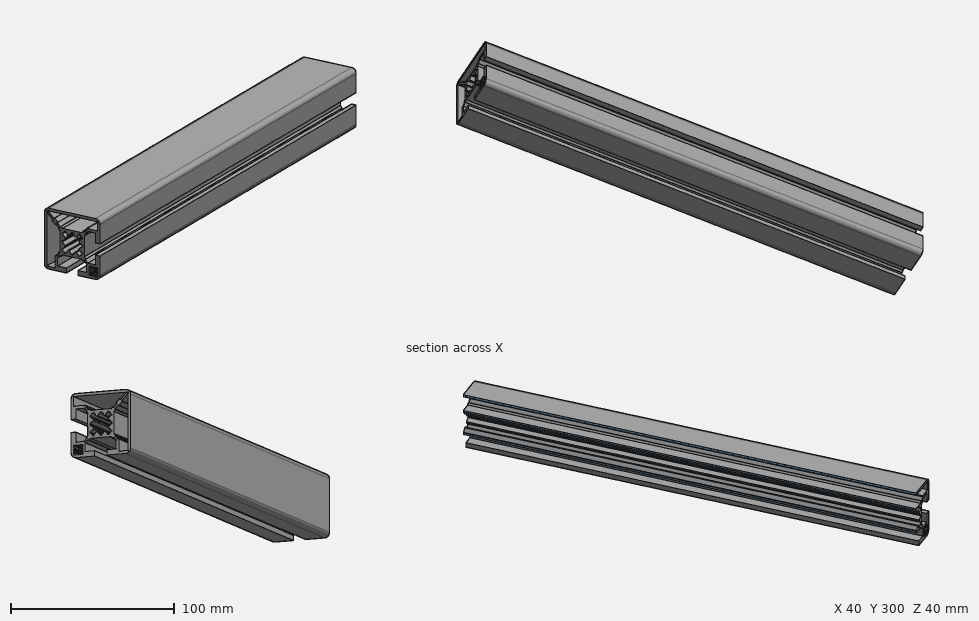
import cadquery as cq
import math

length = 300.0
side = 40.0
half_side = side / 2
corner_radius = 3.3
wall = 1.8

slot_opening = 8.0
slot_width = 20.7
lip_thickness = 3.3
slot_half = slot_width / 2
arm_outer = slot_half + wall
lip_inner = half_side - lip_thickness

core_side = 17.5
core_half = core_side / 2
web_thickness = 1.3
web_root_width = 2.7
web_root_length = 0.3
web_bump_length = 3.3
web_bump_width = 2.7
web_bump_place = 12.3

core_bore_half = 7.2
core_bore_bevel = 2.0
core_tooth_place = 2.6
core_tooth_half_width = 2.25
core_tooth_height = 2.25
core_tooth_tip_half = 0.45

box_bore_half = (half_side - wall - arm_outer) / 2
box_bore_bevel = 0.45
box_tooth_place = 1.0
box_tooth_half_width = 0.5
box_tooth_height = 1.0
box_tooth_tip_half = 0.15
box_center = arm_outer + box_bore_half


def bar(x_min, x_max, z_min, z_max):
    """Full-length rectangular bar between two X and two Z limits."""
    return cq.Workplane("XY").box(x_max - x_min, length, z_max - z_min).translate(
        ((x_min + x_max) / 2, 0, (z_min + z_max) / 2)
    )


def diagonal_bar(start, end, thickness, angle):
    """Full-length bar running outward from the axis, between two distances, at an angle from +X to +Z."""
    return bar(start, end, -thickness / 2, thickness / 2).rotate((0, 0, 0), (0, 1, 0), -angle)


def toothed_bore(half_width, bevel, tooth_place, tooth_half_width, tooth_height, tooth_tip_half):
    """Full-length square bore on the axis, with bevelled corners and two tapered teeth on each side."""
    tooth = [
        (tooth_place - tooth_half_width, half_width),
        (tooth_place - tooth_tip_half, half_width - tooth_height),
        (tooth_place + tooth_tip_half, half_width - tooth_height),
        (tooth_place + tooth_half_width, half_width),
    ]
    half_of_side = tooth + [(half_width - bevel, half_width)]
    one_side = [(-across, out) for across, out in reversed(half_of_side)] + half_of_side
    points = []
    for quarter in range(4):
        turn = math.radians(-90 * quarter)
        for across, out in one_side:
            x = across * math.cos(turn) - out * math.sin(turn)
            z = across * math.sin(turn) + out * math.cos(turn)
            points.append((x, z))
    return cq.Workplane("XZ").polyline(points).close().extrude(length / 2, both=True)


def turned_over(shape):
    """The shape turned half a turn about the X-Z diagonal that swaps the two slots."""
    return shape.rotate((0, 0, 0), (1, 0, -1), 180)


outer_block = bar(-half_side, half_side, -half_side, half_side).edges("|Y").fillet(corner_radius)
inner_half = half_side - wall
profile = outer_block.cut(bar(-inner_half, inner_half, -inner_half, inner_half))

slot_arm = bar(slot_half, half_side - wall / 2, slot_half, arm_outer)
lips = bar(lip_inner, half_side - wall / 2, -arm_outer, arm_outer)
opening = bar(lip_inner - wall, half_side + wall, -slot_opening / 2, slot_opening / 2)
slot_parts = slot_arm.union(lips)
profile = profile.union(slot_parts).union(turned_over(slot_parts))
profile = profile.cut(opening).cut(turned_over(opening))

corner_box = bar(slot_half, half_side, -half_side, -slot_half).intersect(outer_block)
profile = profile.union(corner_box)

profile = profile.union(bar(-core_half, core_half, -core_half, core_half))
core_corner = core_half * math.sqrt(2)
slot_corner = (slot_half + web_thickness / 2) * math.sqrt(2)
plain_corner = (half_side - wall / 2) * math.sqrt(2) - wall
for angle, web_end in [(45, slot_corner), (-45, slot_corner), (-135, slot_corner), (135, plain_corner)]:
    web = diagonal_bar(0, web_end, web_thickness, angle)
    root = diagonal_bar(0, core_corner + web_root_length, web_root_width, angle)
    profile = profile.union(web).union(root)
bump_distance = web_bump_place * math.sqrt(2)
bump_start = bump_distance - web_bump_length / 2
bump = diagonal_bar(bump_start, bump_start + web_bump_length, web_bump_width, 135)
profile = profile.union(bump)

core_bore = toothed_bore(
    core_bore_half,
    core_bore_bevel,
    core_tooth_place,
    core_tooth_half_width,
    core_tooth_height,
    core_tooth_tip_half,
)
box_bore = toothed_bore(
    box_bore_half,
    box_bore_bevel,
    box_tooth_place,
    box_tooth_half_width,
    box_tooth_height,
    box_tooth_tip_half,
).translate((box_center, 0, -box_center))
result = profile.cut(core_bore).cut(box_bore)